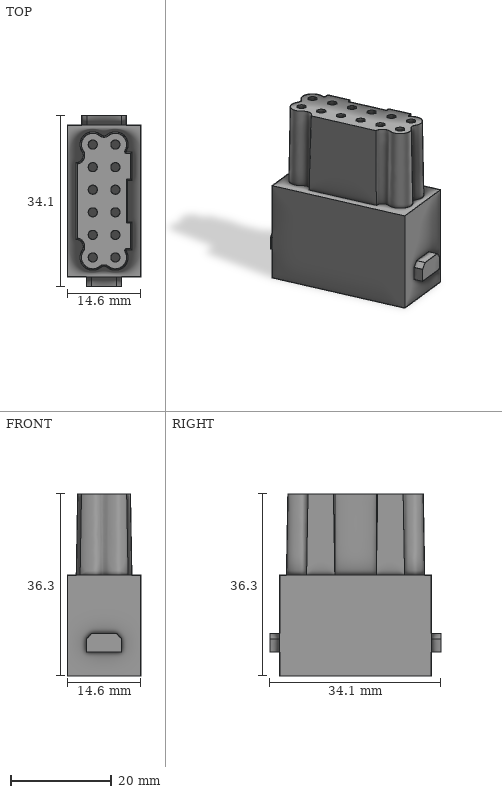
import cadquery as cq
import math

block_x = 14.6
block_y = 30.25
block_z = 20.12
total_y = 34.1
total_z = 36.25

lug_length = (total_y - block_y) / 2
lug_bottom = 4.8
lug_top = 8.5
front_lug_width = 7.0
back_lug_width = 8.9
lug_chamfer_x = 1.0
lug_chamfer_z = 1.1

hole_pitch = 4.5
hole_rows = 6
hole_columns = 2
hole_diameter = 1.8

insert_height = total_z - block_z
draft_angle = 1.0
lobe_radius = 2.55
end_groove_radius = 1.0
side_groove_radius = 1.4
side_x = 5.55
recess_x = 4.7
tab_outer_y = 9.75
tab_inner_y = 4.15
tab_fillet_radius = 0.1

lobe_x = hole_pitch * (hole_columns - 1) / 2
lobe_y = hole_pitch * (hole_rows - 1) / 2


def leg(hypotenuse, other_leg):
    """Remaining leg of a right triangle."""
    return math.sqrt(hypotenuse**2 - other_leg**2)


def lobe_point(toward):
    """Point of the +X +Y lobe circle in the direction of another point."""
    dx = toward[0] - lobe_x
    dy = toward[1] - lobe_y
    scale = lobe_radius / math.hypot(dx, dy)
    return (lobe_x + dx * scale, lobe_y + dy * scale)


def mirror_x(point):
    return (-point[0], point[1])


def mirror_y(point):
    return (point[0], -point[1])


def make_block():
    return cq.Workplane("XY").box(block_x, block_y, block_z, centered=(True, True, False))


def make_lug(width, y_start):
    """Lug with its two upper edges chamfered, running from y_start toward +Y."""
    half = width / 2
    shoulder_z = lug_top - lug_chamfer_z
    outline = [
        (-half, lug_bottom),
        (half, lug_bottom),
        (half, shoulder_z),
        (half - lug_chamfer_x, lug_top),
        (-half + lug_chamfer_x, lug_top),
        (-half, shoulder_z),
    ]
    plane = cq.Workplane("XZ", origin=(0, y_start, 0))
    return plane.polyline(outline).close().extrude(-lug_length)


def make_insert():
    end_center = (0, lobe_y + leg(lobe_radius + end_groove_radius, lobe_x))
    end_bottom = (0, end_center[1] - end_groove_radius)
    end_tangent = lobe_point(end_center)

    side_drop = leg(lobe_radius + side_groove_radius, side_x - lobe_x)
    side_center = (side_x, lobe_y - side_drop)
    side_tangent = lobe_point(side_center)
    side_corner = (side_x, side_center[1] - side_groove_radius)
    diagonal = side_groove_radius / math.sqrt(2)
    side_middle = (side_center[0] - diagonal, side_center[1] - diagonal)

    fillet_y = tab_outer_y + tab_fillet_radius
    fillet_x = lobe_x + leg(lobe_radius + tab_fillet_radius, lobe_y - fillet_y)
    fillet_start = lobe_point((fillet_x, fillet_y))
    fillet_end = (fillet_x, tab_outer_y)
    fillet_diagonal = tab_fillet_radius / math.sqrt(2)
    fillet_middle = (fillet_x - fillet_diagonal, fillet_y - fillet_diagonal)

    lobe_middle = lobe_point((2 * lobe_x, lobe_y + lobe_x))

    outline = (
        cq.Workplane("XY", origin=(0, 0, block_z))
        .moveTo(*mirror_x(side_corner))
        .threePointArc(mirror_x(side_middle), mirror_x(side_tangent))
        .threePointArc(mirror_x(lobe_middle), mirror_x(end_tangent))
        .threePointArc(end_bottom, end_tangent)
        .threePointArc(lobe_middle, fillet_start)
        .threePointArc(fillet_middle, fillet_end)
        .lineTo(side_x, tab_outer_y)
        .lineTo(side_x, tab_inner_y)
        .lineTo(recess_x, tab_inner_y)
        .lineTo(recess_x, -tab_inner_y)
        .lineTo(side_x, -tab_inner_y)
        .lineTo(side_x, -tab_outer_y)
        .lineTo(*mirror_y(fillet_end))
        .threePointArc(mirror_y(fillet_middle), mirror_y(fillet_start))
        .threePointArc(mirror_y(lobe_middle), mirror_y(end_tangent))
        .threePointArc(mirror_y(end_bottom), mirror_x(mirror_y(end_tangent)))
        .threePointArc(mirror_x(mirror_y(lobe_middle)), mirror_x(mirror_y(side_tangent)))
        .threePointArc(mirror_x(mirror_y(side_middle)), mirror_x(mirror_y(side_corner)))
        .close()
    )
    return outline.extrude(insert_height, taper=draft_angle)


def make_holes():
    """Contact holes, from the block's top face up through the insert."""
    grid = cq.Workplane("XY", origin=(0, 0, block_z)).rarray(
        hole_pitch, hole_pitch, hole_columns, hole_rows
    )
    return grid.circle(hole_diameter / 2).extrude(insert_height)


front_lug = make_lug(front_lug_width, -total_y / 2)
back_lug = make_lug(back_lug_width, block_y / 2)
insert = make_insert().cut(make_holes())
result = make_block().union(front_lug).union(back_lug).union(insert)